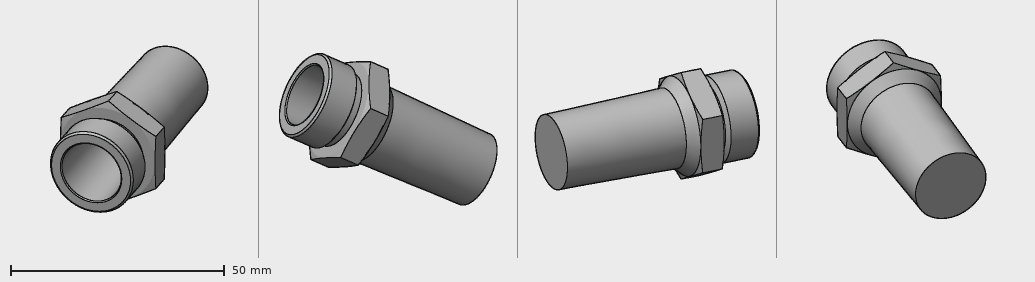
import cadquery as cq


total_length = 49.0
groove_start = 8.35
hex_start = 10.0
hex_end = 16.0
shoulder_end = 18.65

thread_diameter = 21.0
groove_diameter = 18.3
tube_root_diameter = 19.3
tube_tip_diameter = 18.0
hex_across_flats = 24.0
thread_front_chamfer = 0.5
thread_back_chamfer_length = 0.8
hex_face_diameter = 23.9
hex_corner_chamfer_length = 0.5

bore_diameter = 15.0
bore_floor_diameter = 13.6
bore_mouth_chamfer = 0.3
end_wall = (tube_root_diameter - bore_diameter) / 2
bore_depth = total_length - end_wall

hex_corner_radius = hex_across_flats / 3**0.5


def revolve_profile(points):
    """Revolve (radius, axial position) points about the Y axis."""
    return cq.Workplane("XY").polyline(points).close().revolve(360, (0, 0), (0, 1))


def turned_body():
    thread_radius = thread_diameter / 2
    groove_radius = groove_diameter / 2
    hex_face_radius = hex_face_diameter / 2
    return revolve_profile([
        (0, 0),
        (thread_radius - thread_front_chamfer, 0),
        (thread_radius, thread_front_chamfer),
        (thread_radius, groove_start - thread_back_chamfer_length),
        (groove_radius, groove_start),
        (groove_radius, hex_start),
        (hex_face_radius, hex_start),
        (hex_face_radius, hex_end),
        (tube_root_diameter / 2, shoulder_end),
        (tube_tip_diameter / 2, total_length),
        (0, total_length),
    ])


def hex_collar():
    """Hexagon with corners on +Z and -Z, their ends trimmed by shallow cones."""
    prism = (
        cq.Workplane("XZ", origin=(0, hex_start, 0))
        .transformed(rotate=(0, 0, 90))
        .polygon(6, 2 * hex_corner_radius)
        .extrude(hex_start - hex_end)
    )
    face_radius = hex_face_diameter / 2
    corner_trim = revolve_profile([
        (0, hex_start),
        (face_radius, hex_start),
        (hex_corner_radius, hex_start + hex_corner_chamfer_length),
        (hex_corner_radius, hex_end - hex_corner_chamfer_length),
        (face_radius, hex_end),
        (0, hex_end),
    ])
    return prism.intersect(corner_trim)


def blind_bore():
    """Straight up to the shoulder, then tapering with the tube to a flat floor."""
    bore_radius = bore_diameter / 2
    return revolve_profile([
        (0, 0),
        (bore_radius + bore_mouth_chamfer, 0),
        (bore_radius, bore_mouth_chamfer),
        (bore_radius, shoulder_end),
        (bore_floor_diameter / 2, bore_depth),
        (0, bore_depth),
    ])


result = turned_body().union(hex_collar()).cut(blind_bore())